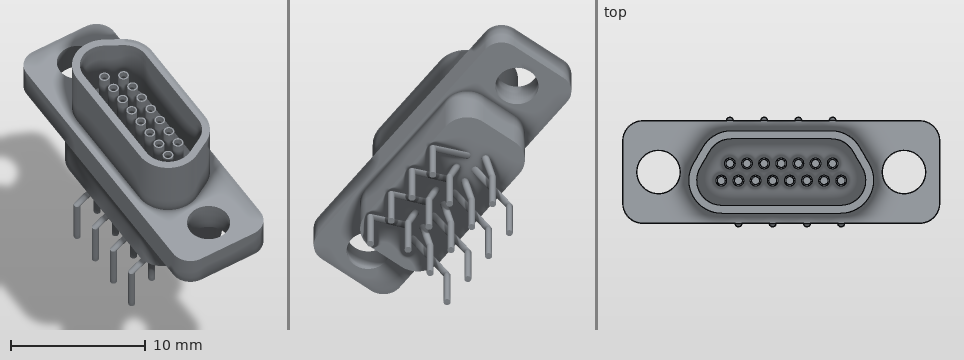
import cadquery as cq
import math

flange_length = 23.5
flange_width = 7.61
flange_thickness = 2.42
flange_corner_radius = 1.5
mount_hole_diameter = 3.2
mount_hole_spacing = 18.2

block_length = 13.8
block_width = 6.86
block_height = 3.6
block_corner_radius = 2.0

shell_length = 13.7
shell_width = 6.1
shell_height = 4.89
shell_corner_radius = 2.45
shell_side_angle = 30.0
shell_wall = 0.59

contact_pitch = 1.27
front_row_count = 8
back_row_count = 7
row_offset = contact_pitch / 2
socket_diameter = 0.8
socket_bore_diameter = 0.59
socket_bore_depth = 1.18
socket_height = 3.5
pin_diameter = 0.52
leg_root_diameter = 0.59
leg_rise = 1.97
tail_length = 3.71
inner_tail_offset = contact_pitch
outer_tail_offset = 3 * contact_pitch

cavity_floor = flange_thickness
socket_top = cavity_floor + socket_height
block_bottom = -block_height
bend_level = block_bottom - leg_rise


def arc_point(center_x, center_y, radius, degrees):
    angle = math.radians(degrees)
    return (center_x + radius * math.cos(angle), center_y + radius * math.sin(angle))


def d_prism(inset):
    """Rounded trapezoid with its long side toward -Y, moved inward by inset, standing on the flange."""
    radius = shell_corner_radius - inset
    slope = shell_side_angle
    center_y = shell_width / 2 - shell_corner_radius
    long_x = shell_length / 2 - shell_corner_radius
    short_x = long_x - 2 * center_y * math.tan(math.radians(slope))

    def long_corner(degrees):
        return arc_point(long_x, -center_y, radius, degrees)

    def short_corner(degrees):
        return arc_point(short_x, center_y, radius, degrees)

    def mirrored(point):
        return (-point[0], point[1])

    long_middle = (slope - 90) / 2
    short_middle = (slope + 90) / 2
    return (
        cq.Workplane("XY", origin=(0, 0, flange_thickness))
        .moveTo(*mirrored(long_corner(-90)))
        .lineTo(*long_corner(-90))
        .threePointArc(long_corner(long_middle), long_corner(slope))
        .lineTo(*short_corner(slope))
        .threePointArc(short_corner(short_middle), short_corner(90))
        .lineTo(*mirrored(short_corner(90)))
        .threePointArc(mirrored(short_corner(short_middle)), mirrored(short_corner(slope)))
        .lineTo(*mirrored(long_corner(slope)))
        .threePointArc(mirrored(long_corner(long_middle)), mirrored(long_corner(-90)))
        .close()
        .extrude(shell_height)
    )


def rounded_plate(length, width, height, corner_radius):
    """Plate from Z = 0 to the signed height, with rounded vertical edges."""
    plate = cq.Workplane("XY").rect(length, width).extrude(height)
    return plate.edges("|Z").fillet(corner_radius)


def make_shell_and_flange():
    flange = rounded_plate(flange_length, flange_width, flange_thickness, flange_corner_radius)
    block = rounded_plate(block_length, block_width, -block_height, block_corner_radius)
    mount_holes = (
        cq.Workplane("XY")
        .pushPoints([(-mount_hole_spacing / 2, 0), (mount_hole_spacing / 2, 0)])
        .circle(mount_hole_diameter / 2)
        .extrude(flange_thickness)
    )
    return flange.union(block).union(d_prism(0)).cut(d_prism(shell_wall)).cut(mount_holes)


def make_contact(x, row_y, tail_y):
    """Bored socket through the block, a tapered sloping leg below it, and an upright tail."""
    socket = (
        cq.Workplane("XY", origin=(x, row_y, block_bottom))
        .circle(socket_diameter / 2)
        .extrude(socket_top - block_bottom)
        .faces(">Z")
        .workplane()
        .circle(socket_bore_diameter / 2)
        .cutBlind(-socket_bore_depth)
    )
    leg = (
        cq.Workplane("XY", origin=(x, row_y, block_bottom))
        .circle(leg_root_diameter / 2)
        .workplane(offset=-leg_rise)
        .center(0, tail_y - row_y)
        .circle(pin_diameter / 2)
        .loft()
    )
    tail = (
        cq.Workplane("XY", origin=(x, tail_y, bend_level))
        .circle(pin_diameter / 2)
        .extrude(-tail_length)
    )
    return socket.union(leg).union(tail)


def make_contact_row(count, side, first_tail_offset, second_tail_offset):
    """Contacts along X on one side (-1 or 1) of the X axis, with tails at alternating offsets."""
    contacts = []
    for i in range(count):
        x = (i - (count - 1) / 2) * contact_pitch
        tail_offset = first_tail_offset if i % 2 == 0 else second_tail_offset
        contacts.append(make_contact(x, side * row_offset, side * tail_offset))
    return contacts


def make_housing(front_contacts):
    """Housing with the back contact row in one piece and a matching hole for each front contact."""
    body = make_shell_and_flange()
    for contact in make_contact_row(back_row_count, 1, outer_tail_offset, inner_tail_offset):
        body = body.union(contact)
    for contact in front_contacts:
        body = body.cut(contact)
    return body


front_contacts = make_contact_row(front_row_count, -1, inner_tail_offset, outer_tail_offset)
housing = make_housing(front_contacts)

contact_solids = [contact.solids().val() for contact in front_contacts]
result = cq.Compound.makeCompound([housing.solids().val(), *contact_solids])